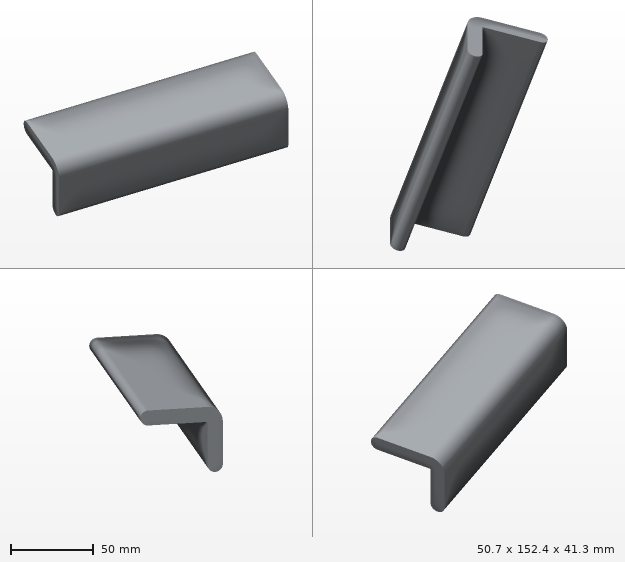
import cadquery as cq

width = 50.7
length = 152.4
height = 41.3

thickness = 9.5
tip_radius = thickness / 2
bend_radius = thickness

right = width / 2
left = -right
top = height / 2
bottom = -top
inner_x = right - thickness
inner_z = top - thickness
tip_x = left + tip_radius
tip_z = bottom + tip_radius
bend_offset = bend_radius / 2**0.5

profile = (
    cq.Workplane("XZ")
    .moveTo(tip_x, top)
    .lineTo(right - bend_radius, top)
    .threePointArc((inner_x + bend_offset, inner_z + bend_offset), (right, top - bend_radius))
    .lineTo(right, tip_z)
    .threePointArc((right - tip_radius, bottom), (inner_x, tip_z))
    .lineTo(inner_x, inner_z)
    .lineTo(tip_x, inner_z)
    .threePointArc((left, top - tip_radius), (tip_x, top))
    .close()
)

result = profile.extrude(length / 2, both=True)